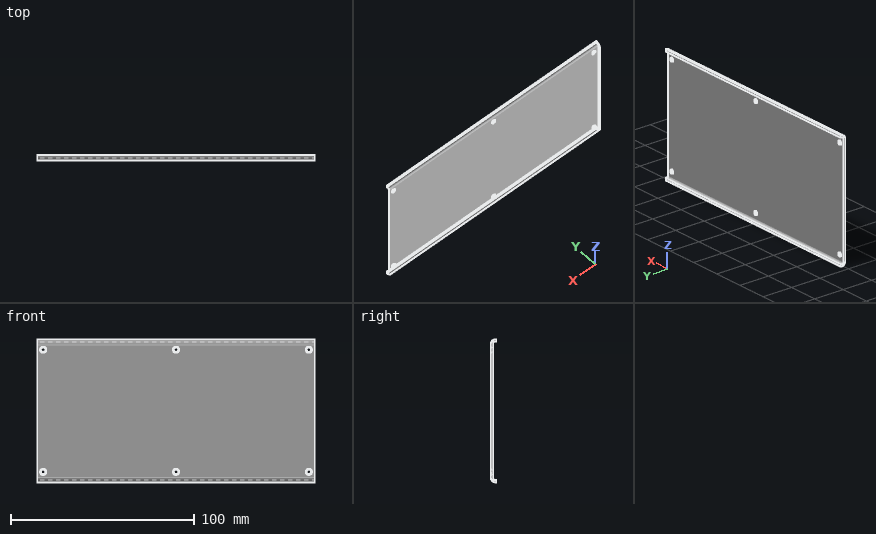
import cadquery as cq

length = 151.5
depth = 3.2
height = 78.3

thickness = 1.5
outer_bend = 3.0
inner_bend = 0.5

hole_diameter = 2.4
counterbore_diameter = 3.5
counterbore_depth = 0.5
hole_span_x = 145.0
hole_span_z = 66.7
hole_columns = 3
hole_rows = 2


def make_panel():
    """Flat sheet in the XZ plane with both long edges bent toward +Y."""
    block = cq.Workplane("XY").box(length, depth, height)
    block = block.edges("<Y and |X").fillet(outer_bend)

    hollow_depth = depth - thickness
    hollow = cq.Workplane("XY").box(length, hollow_depth, height - 2 * thickness)
    hollow = hollow.edges("<Y and |X").fillet(inner_bend)
    return block.cut(hollow.translate((0, thickness / 2, 0)))


def drill_holes(panel):
    """Grid of holes counterbored from the -Y face."""
    return (
        panel.faces("<Y")
        .workplane(centerOption="CenterOfBoundBox")
        .rarray(hole_span_x / (hole_columns - 1), hole_span_z / (hole_rows - 1), hole_columns, hole_rows)
        .cboreHole(hole_diameter, counterbore_diameter, counterbore_depth)
    )


result = drill_holes(make_panel())